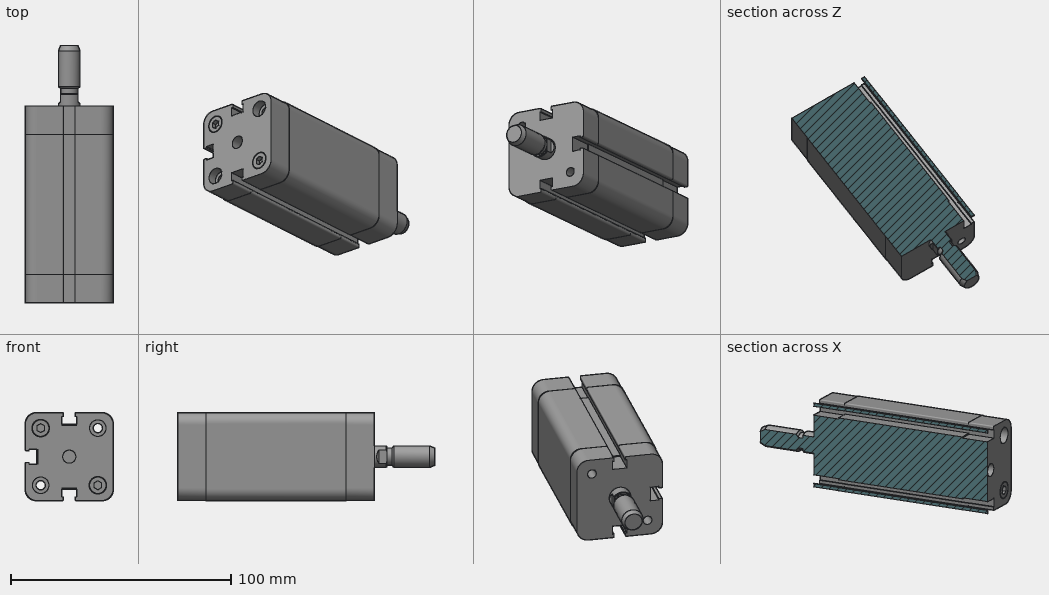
import cadquery as cq

total_length = 117.0
body_length = 89.5
cap_length = 12.9
profile_length = body_length - 2 * cap_length

cap_width = 40.0
cap_corner_radius = 5.5
cap_slot_depth = 5.7
profile_width = 40.1
profile_corner_radius = 5.0
profile_slot_depth = 5.3

slot_mouth_width = 5.3
slot_inner_width = 6.7
slot_lip = 1.8
slot_mouth_round = 0.6

bolt_offset = 13.0
through_diameter = 4.1
counterbore_diameter = 7.5
counterbore_depth = 4.5
bolt_hole_diameter = 8.0
bolt_head_diameter = 7.5
bolt_head_height = 4.0
bolt_socket_corners = 4.1
bolt_socket_depth = 2.3

port_diameter = 6.0
port_depth = 10.0

rod_diameter = 10.0
neck_diameter = 8.0
thread_length = 18.7
tip_chamfer_length = 2.5
neck_cone_length = 0.8
neck_end = 21.9
rod_edge_chamfer = 0.4
flats_width = 8.0
flats_length = 3.6
rod_overlap = 1.2


def block(width, corner_radius, start, length):
    """Square bar with rounded corners, running along Y from `start`."""
    bar = cq.Workplane("XY").box(width, length, width).edges("|Y").fillet(corner_radius)
    return bar.translate((0, start + length / 2, 0))


def slot_cutter(width, depth, start, length):
    """T-slot with a rounded mouth, cut into the top (+Z) side of a bar of this width."""
    surface = width / 2
    half_mouth = slot_mouth_width / 2
    half_inner = slot_inner_width / 2
    mouth_round = slot_mouth_round
    outline = (
        cq.Workplane("XZ", origin=(0, start, 0))
        .moveTo(half_mouth + mouth_round, surface)
        .radiusArc((half_mouth, surface - mouth_round), -mouth_round)
        .lineTo(half_mouth, surface - slot_lip)
        .lineTo(half_inner, surface - slot_lip)
        .lineTo(half_inner, surface - depth)
        .lineTo(-half_inner, surface - depth)
        .lineTo(-half_inner, surface - slot_lip)
        .lineTo(-half_mouth, surface - slot_lip)
        .lineTo(-half_mouth, surface - mouth_round)
        .radiusArc((-half_mouth - mouth_round, surface), -mouth_round)
        .close()
    )
    return outline.extrude(-length)


def slotted_bar(width, corner_radius, slot_depth, start, length):
    """Rounded bar with T-slots on its +Z, -X and -Z sides."""
    bar = block(width, corner_radius, start, length)
    cutter = slot_cutter(width, slot_depth, start, length)
    for angle in (0, -90, 180):
        bar = bar.cut(cutter.rotate((0, 0, 0), (0, 1, 0), angle))
    return bar


def cylinder(diameter, start, length, x=0, z=0):
    """Round bar along Y from `start`, centred on (x, z)."""
    return cq.Workplane("XZ", origin=(x, start, z)).circle(diameter / 2).extrude(-length)


def bolt_recess(x, z):
    """Narrow ring around a flush bolt head, plus the hexagon socket in the head."""
    ring = cylinder(bolt_hole_diameter, 0, bolt_head_height, x, z)
    ring = ring.cut(cylinder(bolt_head_diameter, 0, bolt_head_height, x, z))
    socket = cq.Workplane("XZ", origin=(x, 0, z)).transformed(rotate=(0, 0, 90))
    socket = socket.polygon(6, bolt_socket_corners).extrude(-bolt_socket_depth)
    return ring.union(socket)


def mounting_hole(x, z):
    """Hole through the whole body, counterbored from the plain end."""
    hole = cylinder(through_diameter, 0, body_length, x, z)
    return hole.union(cylinder(counterbore_diameter, 0, counterbore_depth, x, z))


def piston_rod():
    """Threaded rod end, undercut neck and a collar with two wrench flats facing +X and -X."""
    rod_radius = rod_diameter / 2
    neck_radius = neck_diameter / 2
    tip = total_length
    outline = [
        (0, body_length - rod_overlap),
        (rod_radius, body_length - rod_overlap),
        (rod_radius, tip - neck_end - rod_edge_chamfer),
        (rod_radius - rod_edge_chamfer, tip - neck_end),
        (neck_radius, tip - neck_end),
        (neck_radius, tip - thread_length - neck_cone_length),
        (rod_radius, tip - thread_length),
        (rod_radius, tip - tip_chamfer_length),
        (neck_radius, tip),
        (0, tip),
    ]
    rod = cq.Workplane("XY").polyline(outline).close().revolve(360, (0, 0, 0), (0, 1, 0))

    runout = rod_radius - flats_width / 2
    flat_start = tip - neck_end
    flat_end = flat_start - flats_length
    for side in (-1, 1):
        flat = [
            (side * flats_width / 2, flat_start),
            (side * flats_width / 2, flat_end),
            (side * rod_radius, flat_end - runout),
            (side * rod_radius, flat_start),
        ]
        cutter = cq.Workplane("XY").polyline(flat).close().extrude(rod_radius, both=True)
        rod = rod.cut(cutter)
    return rod


result = slotted_bar(profile_width, profile_corner_radius, profile_slot_depth, cap_length, profile_length)
for cap_start in (0, body_length - cap_length):
    result = result.union(slotted_bar(cap_width, cap_corner_radius, cap_slot_depth, cap_start, cap_length))

result = result.cut(cylinder(port_diameter, 0, port_depth))
for side in (-1, 1):
    result = result.cut(mounting_hole(side * bolt_offset, side * bolt_offset))
    result = result.cut(bolt_recess(side * bolt_offset, -side * bolt_offset))

result = result.union(piston_rod())